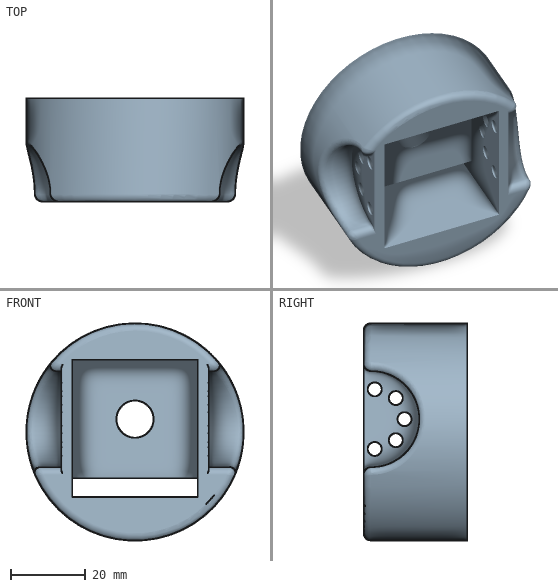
import cadquery as cq
import math

body_diameter = 58.7
body_depth = 28.0
front_round = 2.0

pocket_width = 33.85
plate_height = 31.9
slot_height = 5.0
pocket_depth = 18.0
feature_height = 3.45
center_hole_diameter = 10.0

recess_radius = 12.95
recess_center_depth = 2.05
recess_floor_x = 19.9
recess_side_round = 1.45
floor_edge_round = 0.45

vent_diameter = 3.7
vent_circle_radius = 8.05
vent_circle_depth = 3.0
vent_count = 5
vent_spacing_angle = 45.0

body_radius = body_diameter / 2
front_y = -body_depth / 2
recess_width = body_radius - recess_floor_x
tolerance = 0.005


def box_between(x_range, y_range, z_range):
    """Box given by its lower and upper limit on each axis."""
    sizes = [high - low for low, high in (x_range, y_range, z_range)]
    corner = (x_range[0], y_range[0], z_range[0])
    return cq.Workplane("XY").box(*sizes, centered=False).translate(corner)


def cylinder_along_x(radius, start_x, length, y, z):
    return cq.Workplane("YZ", origin=(start_x, y, z)).circle(radius).extrude(length)


def cylinder_along_y(radius, z):
    plane = cq.Workplane("XZ", origin=(0, -front_y, z))
    return plane.circle(radius).extrude(body_depth)


def side_recess(side):
    """Half-round recess, open to the front and to one side of the housing."""
    center_y = front_y + recess_center_depth
    inner_x = recess_floor_x if side > 0 else -body_radius
    low_z = feature_height - recess_radius
    high_z = feature_height + recess_radius
    round_end = cylinder_along_x(recess_radius, inner_x, recess_width, center_y, feature_height)
    mouth = box_between((inner_x, inner_x + recess_width), (front_y, center_y), (low_z, high_z))
    back_half = box_between(
        (inner_x, inner_x + recess_width), (center_y, -front_y), (low_z, high_z)
    )
    return round_end.intersect(back_half).union(mouth)


def is_floor_edge(edge):
    return abs(abs(edge.Center().x) - recess_floor_x) < tolerance


def is_rim_edge(edge):
    """True for an edge where a recess wall meets the outer surface."""
    if edge.geomType() == "LINE":
        start, end = edge.startPoint(), edge.endPoint()
        along_y = abs(end.y - start.y) > tolerance and abs(end.x - start.x) < tolerance
        reaches_front = min(start.y, end.y) < front_y + tolerance
        return along_y and reaches_front and not is_floor_edge(edge)
    return edge.geomType() == "BSPLINE"


def round_edges(body):
    """Round the recess rims, then the front edges, then the front of each recess floor."""
    rims = [edge for edge in body.edges().vals() if is_rim_edge(edge)]
    body = body.newObject(rims).fillet(recess_side_round)
    front_edges = body.faces("<Y").edges().vals()
    outline = [edge for edge in front_edges if not is_floor_edge(edge)]
    body = body.newObject(outline).fillet(front_round)
    front_edges = body.faces("<Y").edges().vals()
    floor_edges = [edge for edge in front_edges if is_floor_edge(edge)]
    return body.newObject(floor_edges).fillet(floor_edge_round)


def pocket():
    """Front pocket plus the slot that continues through the back."""
    half_width = pocket_width / 2
    plate_bottom = feature_height - plate_height / 2
    plate_top = plate_bottom + plate_height
    slot_bottom = plate_bottom - slot_height
    x_range = (-half_width, half_width)
    opening = box_between(x_range, (front_y, front_y + pocket_depth), (slot_bottom, plate_top))
    slot = box_between(x_range, (front_y, -front_y), (slot_bottom, plate_bottom))
    return opening.union(slot)


def vent_holes():
    """Holes on the rear half of a circle, running through both recess floors."""
    vents = cq.Workplane("XY")
    for index in range(vent_count):
        angle = math.radians((index - (vent_count - 1) / 2) * vent_spacing_angle)
        y = front_y + vent_circle_depth + vent_circle_radius * math.cos(angle)
        z = feature_height + vent_circle_radius * math.sin(angle)
        vents = vents.union(
            cylinder_along_x(vent_diameter / 2, -recess_floor_x, 2 * recess_floor_x, y, z)
        )
    return vents


housing = cylinder_along_y(body_radius, 0)
for side in (-1, 1):
    housing = housing.cut(side_recess(side))
housing = round_edges(housing)
housing = housing.cut(pocket())
housing = housing.cut(cylinder_along_y(center_hole_diameter / 2, feature_height))
result = housing.cut(vent_holes())